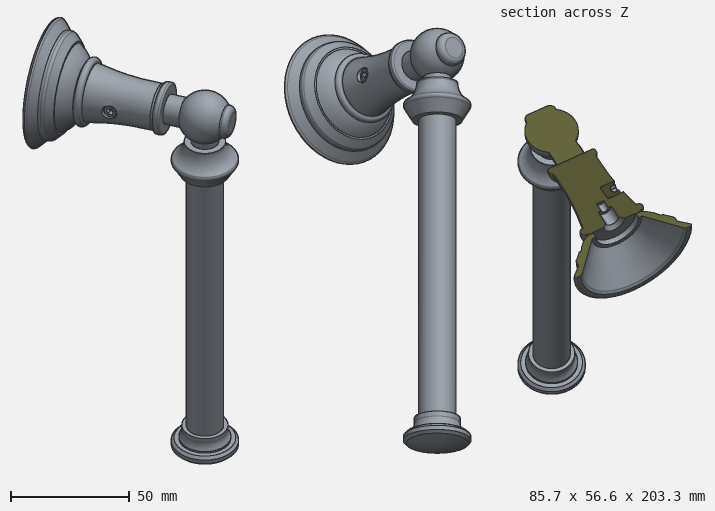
import cadquery as cq
import math


flange_radius = 28.3
rim_round = 1.0
rim_cone_start = 1.8
rim_cone_radius = 27.5
band_start = 5.3
band_crest_end = 6.5
band_end = 8.0
band_radius = 23.8
band_round_drop = 0.5
step_position = 11.2
step_outer_radius = 20.1
step_inner_radius = 19.3
flange_length = 17.0
flange_end_radius = 12.8
flange_tail_bulge = (14.5, 16.7)
mouth_radius = 25.5
mouth_lip_depth = 0.8
cone_mouth_radius = 24.2
cone_floor_depth = 14.5
cone_floor_radius = 12.0
flange_hole_radius = 10.2

arm_root_radius = 12.5
bead_center = 19.3
bead_minor_radius = 1.8
bead_outer_radius = 15.0
bead_center_radius = bead_outer_radius - bead_minor_radius
flare_start = bead_center + bead_minor_radius
flare_root_radius = 12.8
flare_middle = (35.5, 10.5)
arm_radius = 10.2
ring_start = 51.8
ring_end = 55.0
ring_radius = 11.4
ring_round = 0.8
ring_root_radius = ring_radius - ring_round
ring_ramp = 1.2
arm_hole_mouth_radius = 4.9
arm_hole_radius = 3.0
arm_hole_countersink = 1.8
arm_hole_depth = 8.1
arm_pilot_radius = 1.6
arm_pilot_depth = 4.0

screw_position = 32.7
screw_radius = 3.3
screw_face = 10.0
screw_length = 6.0
screw_chamfer = 0.6
socket_flats = 2.8
socket_depth = 2.5
socket_point_radius = 1.2
socket_point_depth = 0.8

ball_center = 71.5
ball_radius = 11.4
stub_radius = 6.5
button_radius = 7.1
button_end = 83.7
button_round = 2.6
neck_radius = 5.9
collar_top = -12.6
collar_top_radius = 8.7
collar_lip_bottom = -13.2
collar_edge_top = -21.3
collar_edge_bottom = -23.4
collar_edge_radius = 13.8
collar_radius = 14.2
collar_bottom = -28.9
collar_bottom_radius = 10.5
collar_cove_middle = (10.4, -18.0)

tube_radius = 8.0
overall_height = 203.3
bottom = flange_radius - overall_height
knob_top = -161.5
knob_neck_radius = 9.8
knob_cove_top = -163.8
knob_disc_top = -168.3
knob_disc_bottom = -172.5
knob_disc_radius = 14.2
knob_disc_round = 1.2
knob_cove_bottom = -167.5
knob_cove_radius = 11.0
knob_cove_middle = (10.2, -166.0)


def spin_about_x(outline):
    """Revolve an (X, radius) outline about the arm axis."""
    return outline.close().revolve(360, (0, 0, 0), (1, 0, 0))


def spin_about_tube_axis(outline):
    """Revolve a (radius, Z) outline about Z and move it onto the tube axis."""
    return outline.close().revolve(360, (0, 0, 0), (0, 1, 0)).translate((ball_center, 0, 0))


def x_cylinder(radius, start, end):
    return cq.Workplane("YZ", origin=(start, 0, 0)).circle(radius).extrude(end - start)


def make_flange():
    rim_top = (rim_round, flange_radius)
    band_round_middle = ((band_crest_end + band_end) / 2, band_radius - band_round_drop / 4)
    rim_side = rim_round * (1 - math.sqrt(0.5))
    outline = (
        cq.Workplane("XY")
        .moveTo(0, mouth_radius)
        .lineTo(0, flange_radius - rim_round)
        .threePointArc((rim_side, flange_radius - rim_side), rim_top)
        .lineTo(rim_cone_start, rim_cone_radius)
        .lineTo(band_start, band_radius)
        .lineTo(band_crest_end, band_radius)
        .threePointArc(band_round_middle, (band_end, band_radius - band_round_drop))
        .lineTo(step_position, step_outer_radius)
        .lineTo(step_position, step_inner_radius)
        .threePointArc(flange_tail_bulge, (flange_length, flange_end_radius))
        .lineTo(flange_length, flange_hole_radius)
        .lineTo(cone_floor_depth, flange_hole_radius)
        .lineTo(cone_floor_depth, cone_floor_radius)
        .lineTo(mouth_lip_depth, cone_mouth_radius)
    )
    return spin_about_x(outline)


def make_arm_hole():
    """Countersunk blind hole ending in a narrower pilot, in the arm face behind the flange."""
    hole_end = flange_length + arm_hole_depth
    outline = (
        cq.Workplane("XY")
        .moveTo(flange_length, 0)
        .lineTo(flange_length, arm_hole_mouth_radius)
        .lineTo(flange_length + arm_hole_countersink, arm_hole_radius)
        .lineTo(hole_end, arm_hole_radius)
        .lineTo(hole_end, arm_pilot_radius)
        .lineTo(hole_end + arm_pilot_depth, arm_pilot_radius)
        .lineTo(hole_end + arm_pilot_depth, 0)
    )
    return spin_about_x(outline)


def make_screw_hole():
    """Radial hole from the screw tip out through the -Y side of the arm."""
    tip = screw_face - screw_length
    hole = cq.Workplane("XZ", origin=(screw_position, -tip, 0))
    return hole.circle(screw_radius).extrude(arm_root_radius - tip)


def make_arm():
    bead_peak = (bead_center, bead_outer_radius)
    bead_start = (bead_center - bead_minor_radius, bead_center_radius)
    bead_end = (flare_start, bead_center_radius)
    round_side = ring_round * (1 - math.sqrt(0.5))
    outline = (
        cq.Workplane("XY")
        .moveTo(flange_length, 0)
        .lineTo(flange_length, arm_root_radius)
        .lineTo(bead_start[0], arm_root_radius)
        .lineTo(*bead_start)
        .threePointArc(bead_peak, bead_end)
        .lineTo(flare_start, flare_root_radius)
        .threePointArc(flare_middle, (ring_start - ring_ramp, arm_radius))
        .lineTo(ring_start, ring_root_radius)
        .threePointArc(
            (ring_start + round_side, ring_radius - round_side),
            (ring_start + ring_round, ring_radius),
        )
        .lineTo(ring_end - ring_round, ring_radius)
        .threePointArc((ring_end - round_side, ring_radius - round_side), (ring_end, ring_root_radius))
        .lineTo(ring_end, 0)
    )
    return spin_about_x(outline).cut(make_arm_hole()).cut(make_screw_hole())


def make_set_screw():
    tip = screw_face - screw_length
    screw = cq.Workplane("XZ", origin=(screw_position, -tip, 0)).circle(screw_radius).extrude(screw_length)
    screw = screw.faces("<Y").chamfer(screw_chamfer)
    socket_corners = socket_flats / math.cos(math.pi / 6)
    socket_floor = screw_face - socket_depth
    socket = (
        cq.Workplane("XZ", origin=(screw_position, -socket_floor, 0))
        .polygon(6, socket_corners)
        .extrude(socket_depth)
    )
    point = cq.Solid.makeCone(
        socket_point_radius,
        0,
        socket_point_depth,
        pnt=cq.Vector(screw_position, -socket_floor, 0),
        dir=cq.Vector(0, 1, 0),
    )
    return screw.cut(socket).cut(cq.Workplane(point))


def make_collar():
    edge_middle = (collar_radius, (collar_edge_top + collar_edge_bottom) / 2)
    outline = (
        cq.Workplane("XZ")
        .moveTo(0, 0)
        .lineTo(neck_radius, 0)
        .lineTo(neck_radius, collar_top)
        .lineTo(collar_top_radius, collar_top)
        .lineTo(collar_top_radius, collar_lip_bottom)
        .threePointArc(collar_cove_middle, (collar_edge_radius, collar_edge_top))
        .threePointArc(edge_middle, (collar_edge_radius, collar_edge_bottom))
        .lineTo(collar_bottom_radius, collar_bottom)
        .lineTo(0, collar_bottom)
    )
    return spin_about_tube_axis(outline)


def make_elbow():
    ball = cq.Workplane("XY").sphere(ball_radius).translate((ball_center, 0, 0))
    stub = x_cylinder(stub_radius, ring_end, ball_center)
    button = x_cylinder(button_radius, ball_center, button_end).faces(">X").edges().fillet(button_round)
    return ball.union(stub).union(button).union(make_collar())


def make_tube():
    tube = cq.Workplane("XY", origin=(ball_center, 0, knob_top)).circle(tube_radius)
    return tube.extrude(collar_bottom - knob_top)


def make_knob():
    dome_height = knob_disc_bottom - bottom
    dome_edge = knob_disc_radius - knob_disc_round
    dome_radius = (dome_edge**2 + dome_height**2) / (2 * dome_height)
    half_angle = math.asin(dome_edge / dome_radius) / 2
    dome_middle = (
        dome_radius * math.sin(half_angle),
        bottom + dome_radius * (1 - math.cos(half_angle)),
    )
    outline = (
        cq.Workplane("XZ")
        .moveTo(0, knob_top)
        .lineTo(knob_neck_radius, knob_top)
        .lineTo(knob_neck_radius, knob_cove_top)
        .threePointArc(knob_cove_middle, (knob_cove_radius, knob_cove_bottom))
        .lineTo(knob_cove_radius, knob_disc_top)
        .lineTo(dome_edge, knob_disc_top)
        .lineTo(knob_disc_radius, knob_disc_top - knob_disc_round)
        .lineTo(knob_disc_radius, knob_disc_bottom + knob_disc_round)
        .lineTo(dome_edge, knob_disc_bottom)
        .threePointArc(dome_middle, (0, bottom))
    )
    return spin_about_tube_axis(outline)


flange = make_flange()
arm = make_arm()
set_screw = make_set_screw()
elbow = make_elbow()
tube = make_tube()
knob = make_knob()

result = cq.Compound.makeCompound(
    [flange.val(), arm.val(), set_screw.val(), elbow.val(), tube.val(), knob.val()]
)